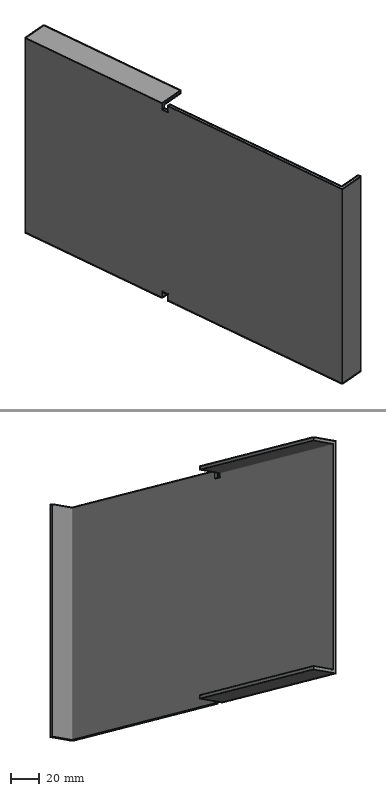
import cadquery as cq

length = 289.5
depth = 20.45
height = 167.0
thickness = 2.5
bend_radius = 0.45
side_flange_length = 125.0
notch_width = 5.0

notch_depth = 2 * thickness + bend_radius


def end_angle():
    """Plate with the full-height flange at its +X end, as one bent sheet."""
    inner_x = length - thickness
    profile = (
        cq.Workplane("XY")
        .moveTo(0, 0)
        .lineTo(length, 0)
        .lineTo(length, depth)
        .lineTo(inner_x, depth)
        .lineTo(inner_x, thickness + bend_radius)
        .radiusArc((inner_x - bend_radius, thickness), bend_radius)
        .lineTo(0, thickness)
        .close()
    )
    return profile.extrude(height)


def side_channel():
    """U-shaped length of plate carrying the bottom and top flanges at the -X end."""
    outer = cq.Workplane("XY").box(side_flange_length, depth, height, centered=False)
    hollow = (
        cq.Workplane("XY")
        .box(side_flange_length, depth, height - 2 * thickness, centered=False)
        .translate((0, thickness, thickness))
        .faces("<Y")
        .edges("|X")
        .fillet(bend_radius)
    )
    return outer.cut(hollow)


def relief_notch(bottom_z):
    """Cutter through the plate for a relief notch, with its lower face at bottom_z."""
    return (
        cq.Workplane("XY")
        .box(notch_width, thickness, notch_depth, centered=False)
        .translate((side_flange_length, 0, bottom_z))
    )


result = end_angle().union(side_channel())
for notch_bottom_z in (0, height - notch_depth):
    result = result.cut(relief_notch(notch_bottom_z))